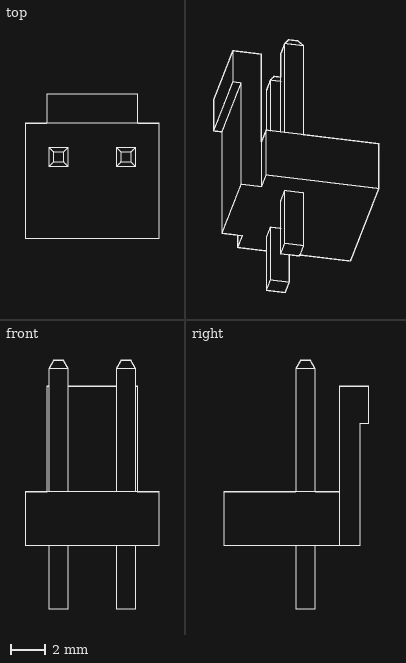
import cadquery as cq

base_width = 7.85
base_depth = 6.77
base_height = 3.17
base_bottom = 3.72
base_front = -4.79
base_back = base_front + base_depth

pin_count = 2
pin_pitch = 3.95
pin_side = 1.14
pin_length = 14.6
tip_height = 0.5
tip_side = 0.57

overall_depth = 8.5
wall_width = 5.31
wall_thickness = 1.23
wall_top = 13.08
lip_height = 2.2
wall_back = base_back + wall_thickness
lip_back = base_front + overall_depth


def make_base():
    return cq.Workplane("XY").box(
        base_width, base_depth, base_height, centered=(True, False, False)
    ).translate((0, base_front, base_bottom))


def make_locking_wall():
    lip_bottom = wall_top - lip_height
    profile = [
        (base_back, base_bottom),
        (wall_back, base_bottom),
        (wall_back, lip_bottom),
        (lip_back, lip_bottom),
        (lip_back, wall_top),
        (base_back, wall_top),
    ]
    return cq.Workplane("YZ").polyline(profile).close().extrude(wall_width / 2, both=True)


def make_pin(x):
    shaft_length = pin_length - tip_height
    shaft = cq.Workplane("XY").rect(pin_side, pin_side).extrude(shaft_length)
    tip = (
        cq.Workplane("XY", origin=(0, 0, shaft_length))
        .rect(pin_side, pin_side)
        .workplane(offset=tip_height)
        .rect(tip_side, tip_side)
        .loft(ruled=True)
    )
    return shaft.union(tip).translate((x, 0, 0))


result = make_base().union(make_locking_wall())
for index in range(pin_count):
    pin_x = (index - (pin_count - 1) / 2) * pin_pitch
    result = result.union(make_pin(pin_x))